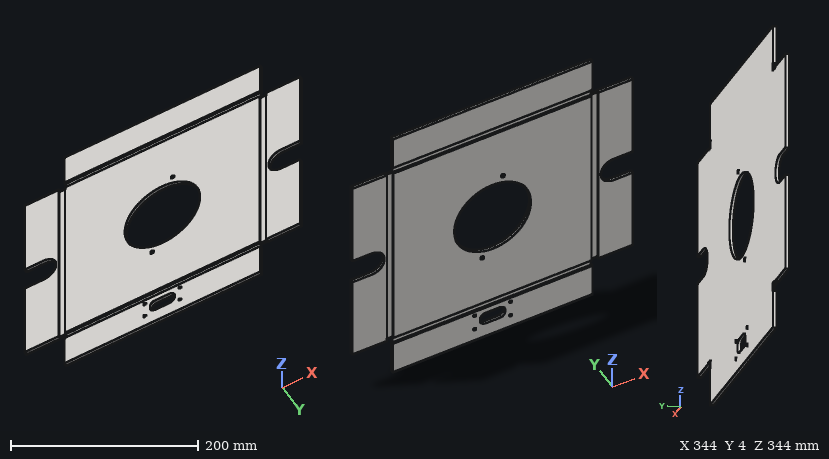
import cadquery as cq

overall_size = 344.0
thickness = 4.0

panel_size = 243.0
flap_width = 245.0
web_length = 8.3
web_thickness = 2.0
flap_depth = (overall_size - panel_size) / 2 - web_length
flap_center = (overall_size - flap_depth) / 2

opening_diameter = 94.0
panel_screw_diameter = 4.0
panel_screw_x = 12.7
panel_screw_z = 54.7

notch_width = 31.0
notch_depth = 39.2

slot_z = -145.5
slot_length = 31.0
slot_height = 15.0
slot_corner_radius = 7.0
slot_screw_diameter = 3.0
slot_screw_spacing_x = 44.0
slot_screw_spacing_z = 20.0


def front_plane():
    """Workplane on the XZ plane through the middle of the thickness."""
    return cq.Workplane("XZ")


def slab(width, height, x=0, z=0):
    """Full-thickness rectangle centred at (x, z)."""
    return cq.Workplane("XY").box(width, thickness, height).translate((x, 0, z))


def through_holes(points, diameter):
    return front_plane().pushPoints(points).circle(diameter / 2).extrude(thickness, both=True)


def make_blank():
    """Panel and flaps, with the fold webs flush with the +Y face."""
    blank = slab(panel_size, panel_size)
    web_span = panel_size + 2 * web_length
    web_y = (thickness - web_thickness) / 2
    for width, height in ((web_span, panel_size), (panel_size, web_span)):
        web = cq.Workplane("XY").box(width, web_thickness, height)
        blank = blank.union(web.translate((0, web_y, 0)))
    for side in (-1, 1):
        blank = blank.union(slab(flap_depth, flap_width, x=side * flap_center))
        blank = blank.union(slab(flap_width, flap_depth, z=side * flap_center))
    return blank


def edge_notches():
    """Slots centred on the outer edges, so that half of each cuts a flap."""
    return (
        front_plane()
        .pushPoints([(-overall_size / 2, 0), (overall_size / 2, 0)])
        .slot2D(2 * notch_depth, notch_width)
        .extrude(thickness, both=True)
    )


def panel_holes():
    opening = through_holes([(0, 0)], opening_diameter)
    screw_points = [(panel_screw_x, panel_screw_z), (-panel_screw_x, -panel_screw_z)]
    return opening.union(through_holes(screw_points, panel_screw_diameter))


def connector_holes():
    slot = (
        slab(slot_length, slot_height, z=slot_z)
        .edges("|Y")
        .fillet(slot_corner_radius)
    )
    screw_points = [
        (side * slot_screw_spacing_x / 2, slot_z + level * slot_screw_spacing_z / 2)
        for side in (-1, 1)
        for level in (-1, 1)
    ]
    return slot.union(through_holes(screw_points, slot_screw_diameter))


result = make_blank().cut(edge_notches()).cut(panel_holes()).cut(connector_holes())